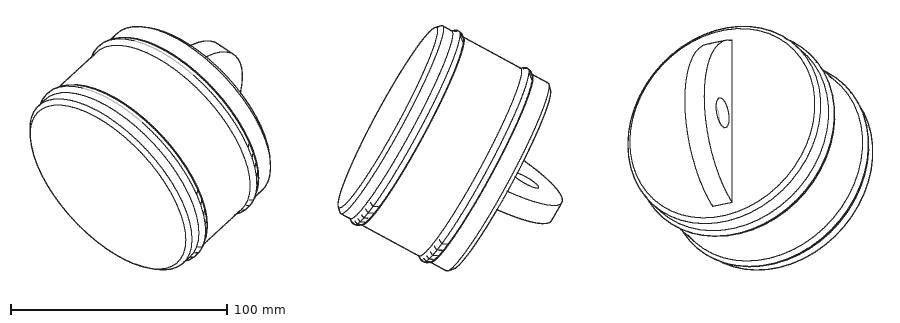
import cadquery as cq

overall_width = 101.8
overall_length = 89.8
body_diameter = 99.0
body_length = 60.0
edge_chamfer = 2.0

ring_section = 6.0
groove_width = 6.1
front_ring_offset = 10.0
rear_ring_offset = 13.5
ring_center_radius = (overall_width - ring_section) / 2
ring_positions = (front_ring_offset, body_length - rear_ring_offset)

tab_thickness = 10.0
tab_radius = 43.8
tab_hole_diameter = 14.0
tab_hole_offset = 10.2


def cylinder_along_y(radius, start, length):
    """Solid cylinder on the Y axis running from start towards +Y."""
    return cq.Workplane("XZ", origin=(0, start, 0)).circle(radius).extrude(-length)


def cylinder_along_x(radius, y_center, length):
    """Solid cylinder parallel to X, centred on X = 0 and Z = 0."""
    return cq.Workplane("YZ").center(y_center, 0).circle(radius).extrude(length / 2, both=True)


def make_body():
    body = cylinder_along_y(body_diameter / 2, 0, body_length)
    return body.faces("<Y or >Y").edges().chamfer(edge_chamfer)


def make_groove(position):
    """Annular cutter for a groove that holds the inner half of a ring."""
    start = position - groove_width / 2
    outer = cylinder_along_y(overall_width / 2, start, groove_width)
    inner = cylinder_along_y(ring_center_radius, start, groove_width)
    return outer.cut(inner)


def make_ring(position):
    axis_start = cq.Vector(0, position, 0)
    axis_direction = cq.Vector(0, 1, 0)
    return cq.Workplane(
        cq.Solid.makeTorus(ring_center_radius, ring_section / 2, axis_start, axis_direction)
    )


def make_tab():
    disc = cylinder_along_x(tab_radius, overall_length - tab_radius, tab_thickness)
    behind_body = cylinder_along_y(overall_width / 2, body_length, overall_length - body_length)
    hole = cylinder_along_x(tab_hole_diameter / 2, body_length + tab_hole_offset, tab_thickness)
    return disc.intersect(behind_body).cut(hole)


result = make_body().union(make_tab())
for ring_position in ring_positions:
    result = result.cut(make_groove(ring_position)).union(make_ring(ring_position))